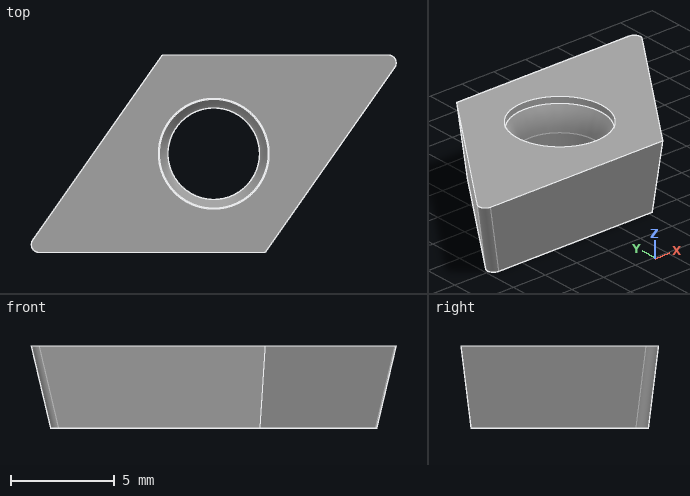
import cadquery as cq
import math

length = 17.57
thickness = 3.97
nose_angle = 55.0
clearance_angle = 7.0
nose_radius = 0.39

bore_radius = 2.2
mouth_radius = 2.67
mouth_depth = 0.35
seat_depth = 1.72
seat_top_radius = 2.62

half_angle = math.radians(nose_angle / 2)
full_angle = math.radians(nose_angle)

nose_setback = nose_radius / math.tan(half_angle)
sharp_length = length + 2 * (nose_setback - nose_radius)
top_inradius = sharp_length / (1 / math.sin(full_angle) + 1 / math.tan(full_angle)) / 2
bottom_inradius = top_inradius - thickness * math.tan(math.radians(clearance_angle))


def insert_outline(plane, inradius):
    """Rhombus around a circle, with its two acute corners rounded."""
    tip_x = inradius / math.tan(half_angle)
    blunt_x = inradius * math.tan(half_angle)
    center_x = tip_x - nose_setback
    center_y = inradius - nose_radius
    bisector_x = center_x + nose_radius * math.cos(half_angle)
    bisector_y = center_y + nose_radius * math.sin(half_angle)
    tangent_x = center_x + nose_radius * math.sin(full_angle)
    tangent_y = center_y - nose_radius * math.cos(full_angle)
    return (
        plane.moveTo(-blunt_x, inradius)
        .lineTo(center_x, inradius)
        .threePointArc((bisector_x, bisector_y), (tangent_x, tangent_y))
        .lineTo(blunt_x, -inradius)
        .lineTo(-center_x, -inradius)
        .threePointArc((-bisector_x, -bisector_y), (-tangent_x, -tangent_y))
        .close()
    )


def insert_body():
    bottom = insert_outline(cq.Workplane("XY"), bottom_inradius)
    top_plane = bottom.workplane(offset=thickness)
    return insert_outline(top_plane, top_inradius).loft(ruled=True, combine=True)


def screw_hole():
    """Straight bore, a curved screw seat tangent to it, and a slightly flared mouth."""
    seat_drop = seat_depth - mouth_depth
    seat_width = seat_top_radius - bore_radius
    seat_radius = (seat_drop**2 + seat_width**2) / (2 * seat_width)
    mid_angle = math.asin(seat_drop / seat_radius) / 2
    seat_mid = (
        bore_radius + seat_radius * (1 - math.cos(mid_angle)),
        thickness - seat_depth + seat_radius * math.sin(mid_angle),
    )
    return (
        cq.Workplane("XZ")
        .lineTo(bore_radius, 0)
        .lineTo(bore_radius, thickness - seat_depth)
        .threePointArc(seat_mid, (seat_top_radius, thickness - mouth_depth))
        .lineTo(mouth_radius, thickness)
        .lineTo(0, thickness)
        .close()
        .revolve(360, (0, 0), (0, 1))
    )


result = insert_body().cut(screw_hole())